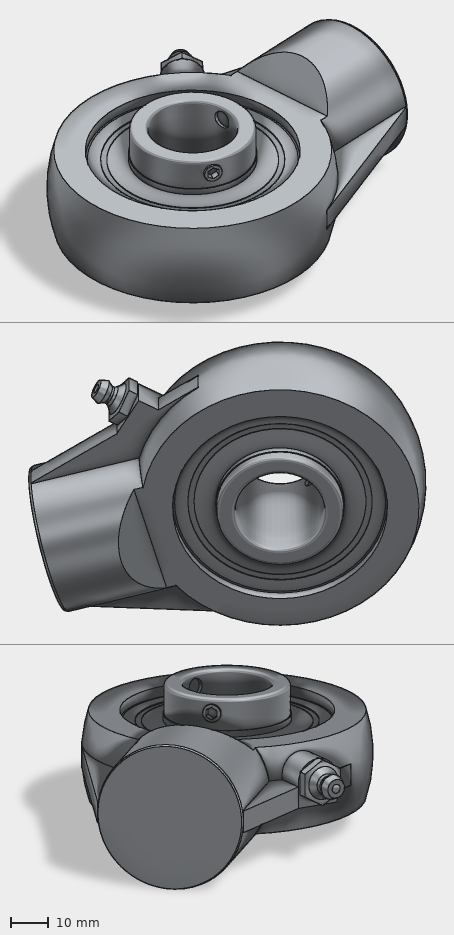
import cadquery as cq
import math

HOUSING_SPHERE_RADIUS = 38.9
HOUSING_WIDTH = 24.0
SEAT_DIAMETER = 56.1
RECESS_DIAMETER = 57.2

BOSS_DIAMETER = 40.0
BOSS_TOP = 63.9
BOSS_FOOT = 33.4
BOSS_EDGE_CHAMFER = 0.7
BOSS_EDGE_CHAMFER_DEPTH = 0.3
BOSS_SLOPE_FOOT = 35.9

WEB_THICKNESS = 6.0

NIPPLE_ANGLE = 135
NIPPLE_HEIGHT = 3.9
GREASE_BOSS_DIAMETER = 12.0
GREASE_BOSS_REACH = 46.5
HEX_ACROSS_FLATS = 11.0
HEX_HEIGHT = 2.7
SHOULDER_TOP = 3.0
CONE_BASE_RADIUS = 4.5
CONE_TOP_RADIUS = 2.9
NECK_RADIUS = 2.5
NOSE_RADIUS = 3.4
NOSE_TIP_RADIUS = 2.6
CONE_TOP = 4.5
NECK_START = 5.3
NECK_END = 6.0
NOSE_WIDEST = 7.5
NOSE_TIP = 9.6
DOME_EDGE_RADIUS = 1.2
DOME_RISE = 0.4

OUTER_RING_WIDTH = 18.3
OUTER_RING_BORE = 49.0
BORE_DIAMETER = 23.8
COLLAR_DIAMETER = 33.7
RACE_DIAMETER = 34.2
RACE_WIDTH = 22.2
INNER_RING_TOP = 19.7
INNER_RING_BOTTOM = -14.3
INNER_RING_FILLET = 1.0

SEAL_CONE_DIAMETER = 45.7
SEAL_THICKNESS = 2.1
SEAL_RIM_DEPTH = 0.2
SEAL_CROWN = 9.4
SEAL_SHOULDER = 9.0

SCREW_ANGLES = (90, -30)
SCREW_DIAMETER = 4.9
SCREW_HEIGHT = 15.8
SCREW_INNER_END = 12.7
SCREW_OUTER_END = 17.5
SOCKET_ACROSS_FLATS = 3.0
SOCKET_DEPTH = 2.1

BOSS_RADIUS = BOSS_DIAMETER / 2
HALF_WIDTH = HOUSING_WIDTH / 2
HALF_WEB = WEB_THICKNESS / 2


def radial_plane(angle, height, distance=0):
    """Plane facing away from the Z axis, with its own Y axis pointing up."""
    turn = math.radians(angle)
    outward = (math.cos(turn), math.sin(turn), 0)
    sideways = (-math.sin(turn), math.cos(turn), 0)
    origin = (distance * outward[0], distance * outward[1], height)
    return cq.Plane(origin=origin, xDir=sideways, normal=outward)


def hexagon_bar(plane, across_flats, length):
    """Hexagonal bar on the plane, with one corner of the hexagon pointing up."""
    corner_circle = 2 * across_flats / math.sqrt(3)
    return cq.Workplane(plane).transformed(rotate=(0, 0, 90)).polygon(6, corner_circle).extrude(length)


def make_ring_body():
    ring = cq.Workplane("XY").sphere(HOUSING_SPHERE_RADIUS)
    slab = cq.Workplane("XY").circle(HOUSING_SPHERE_RADIUS).extrude(HALF_WIDTH, both=True)
    return ring.intersect(slab)


def make_hanger_boss():
    boss = (
        cq.Workplane("XZ", origin=(0, BOSS_TOP, 0))
        .circle(BOSS_RADIUS)
        .extrude(BOSS_TOP - BOSS_FOOT)
        .faces(">Y")
        .chamfer(BOSS_EDGE_CHAMFER, BOSS_EDGE_CHAMFER_DEPTH)
    )
    slope_end = BOSS_SLOPE_FOOT + BOSS_RADIUS - HALF_WIDTH
    side_outline = (
        cq.Workplane("YZ")
        .moveTo(BOSS_FOOT, -HALF_WIDTH)
        .lineTo(BOSS_SLOPE_FOOT, -HALF_WIDTH)
        .lineTo(slope_end, -BOSS_RADIUS)
        .lineTo(BOSS_TOP, -BOSS_RADIUS)
        .lineTo(BOSS_TOP, BOSS_RADIUS)
        .lineTo(slope_end, BOSS_RADIUS)
        .lineTo(BOSS_SLOPE_FOOT, HALF_WIDTH)
        .lineTo(BOSS_FOOT, HALF_WIDTH)
        .close()
        .extrude(BOSS_RADIUS, both=True)
    )
    return boss.intersect(side_outline)


def make_webs():
    corner_y = BOSS_TOP - BOSS_EDGE_CHAMFER
    corner_distance = math.hypot(BOSS_RADIUS, corner_y)
    corner_angle = math.atan2(corner_y, BOSS_RADIUS)
    tangent_angle = corner_angle - math.acos(HOUSING_SPHERE_RADIUS / corner_distance)
    tangent_x = HOUSING_SPHERE_RADIUS * math.cos(tangent_angle)
    tangent_y = HOUSING_SPHERE_RADIUS * math.sin(tangent_angle)
    return (
        cq.Workplane("XY", origin=(0, 0, -HALF_WEB))
        .polyline(
            [
                (-tangent_x, tangent_y),
                (tangent_x, tangent_y),
                (BOSS_RADIUS, corner_y),
                (-BOSS_RADIUS, corner_y),
            ]
        )
        .close()
        .extrude(WEB_THICKNESS)
    )


def make_grease_boss():
    radius = GREASE_BOSS_DIAMETER / 2
    base = -HALF_WEB - NIPPLE_HEIGHT
    return (
        cq.Workplane(radial_plane(NIPPLE_ANGLE, NIPPLE_HEIGHT))
        .moveTo(-radius, base)
        .lineTo(radius, base)
        .lineTo(radius, 0)
        .threePointArc((0, radius), (-radius, 0))
        .close()
        .extrude(GREASE_BOSS_REACH)
    )


def make_housing():
    solid = make_ring_body().union(make_hanger_boss()).union(make_webs()).union(make_grease_boss())
    seat = cq.Workplane("XY").circle(SEAT_DIAMETER / 2).extrude(HALF_WIDTH, both=True)
    solid = solid.cut(seat)
    for side in (1, -1):
        recess = (
            cq.Workplane("XY", origin=(0, 0, side * OUTER_RING_WIDTH / 2))
            .circle(RECESS_DIAMETER / 2)
            .extrude(side * HALF_WIDTH)
        )
        solid = solid.cut(recess)
    return solid


def make_nipple():
    plane = radial_plane(NIPPLE_ANGLE, NIPPLE_HEIGHT, GREASE_BOSS_REACH)
    hexagon = hexagon_bar(plane, HEX_ACROSS_FLATS, HEX_HEIGHT)

    dome_radius = (DOME_EDGE_RADIUS**2 + DOME_RISE**2) / (2 * DOME_RISE)
    axis = cq.Plane(origin=plane.origin, xDir=plane.xDir, normal=-plane.yDir)
    head = (
        cq.Workplane(axis)
        .moveTo(0, 0)
        .lineTo(HEX_ACROSS_FLATS / 2, 0)
        .lineTo(HEX_ACROSS_FLATS / 2, HEX_HEIGHT)
        .lineTo(CONE_BASE_RADIUS, SHOULDER_TOP)
        .lineTo(CONE_TOP_RADIUS, CONE_TOP)
        .lineTo(NECK_RADIUS, NECK_START)
        .lineTo(NECK_RADIUS, NECK_END)
        .lineTo(NOSE_RADIUS, NOSE_WIDEST)
        .lineTo(NOSE_TIP_RADIUS, NOSE_TIP)
        .lineTo(DOME_EDGE_RADIUS, NOSE_TIP)
        .radiusArc((0, NOSE_TIP + DOME_RISE), -dome_radius)
        .close()
        .revolve(360, (0, 0), (0, 1))
    )
    return hexagon.union(head)


def make_outer_ring():
    return (
        cq.Workplane("XY", origin=(0, 0, -OUTER_RING_WIDTH / 2))
        .circle(SEAT_DIAMETER / 2)
        .circle(OUTER_RING_BORE / 2)
        .extrude(OUTER_RING_WIDTH)
    )


def make_inner_ring():
    ring = (
        cq.Workplane("XY", origin=(0, 0, INNER_RING_BOTTOM))
        .circle(COLLAR_DIAMETER / 2)
        .circle(BORE_DIAMETER / 2)
        .extrude(INNER_RING_TOP - INNER_RING_BOTTOM)
        .faces("<Z or >Z")
        .edges()
        .fillet(INNER_RING_FILLET)
    )
    race = (
        cq.Workplane("XY", origin=(0, 0, -RACE_WIDTH / 2))
        .circle(RACE_DIAMETER / 2)
        .circle(BORE_DIAMETER / 2)
        .extrude(RACE_WIDTH)
    )
    ring = ring.union(race)
    for angle in SCREW_ANGLES:
        hole = cq.Workplane(radial_plane(angle, SCREW_HEIGHT)).circle(SCREW_DIAMETER / 2).extrude(RACE_DIAMETER)
        ring = ring.cut(hole)
    return ring


def make_seal(side):
    """Shallow cone with a flat rim; side is +1 for the upper seal and -1 for the lower one."""
    inner = RACE_DIAMETER / 2
    cone = SEAL_CONE_DIAMETER / 2
    outer = OUTER_RING_BORE / 2
    rim = SEAL_SHOULDER - SEAL_RIM_DEPTH
    back = SEAL_SHOULDER - SEAL_THICKNESS
    return (
        cq.Workplane("XZ")
        .moveTo(inner, side * back)
        .lineTo(outer, side * back)
        .lineTo(outer, side * rim)
        .lineTo(cone, side * rim)
        .lineTo(cone, side * SEAL_SHOULDER)
        .lineTo(inner, side * SEAL_CROWN)
        .close()
        .revolve(360, (0, 0), (0, 1))
    )


def make_set_screw(angle):
    screw = (
        cq.Workplane(radial_plane(angle, SCREW_HEIGHT, SCREW_INNER_END))
        .circle(SCREW_DIAMETER / 2)
        .extrude(SCREW_OUTER_END - SCREW_INNER_END)
    )
    mouth = radial_plane(angle, SCREW_HEIGHT, SCREW_OUTER_END)
    socket = hexagon_bar(mouth, SOCKET_ACROSS_FLATS, -SOCKET_DEPTH)
    return screw.cut(socket)


housing = make_housing()
nipple = make_nipple()
outer_ring = make_outer_ring()
inner_ring = make_inner_ring()
seals = [make_seal(side) for side in (1, -1)]
set_screws = [make_set_screw(angle) for angle in SCREW_ANGLES]

result = cq.Compound.makeCompound(
    [
        housing.val(),
        nipple.val(),
        outer_ring.val(),
        inner_ring.val(),
        *[seal.val() for seal in seals],
        *[screw.val() for screw in set_screws],
    ]
)